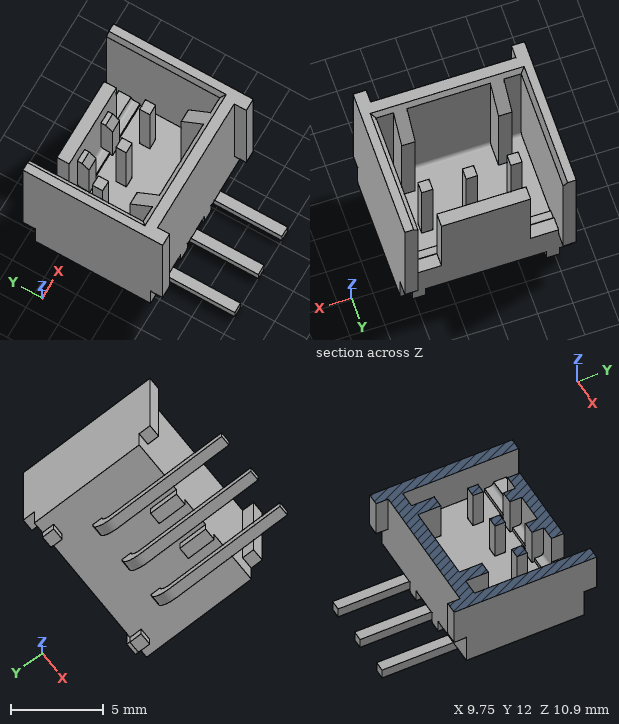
import cadquery as cq


pitch = 2.53
contact_count = 3
wire = 0.64
overall_length = 12.01
tail_tip_y = -8.53
contact_top_z = 8.19

width = 9.75
bottom_z = 2 * wire
top_z = 10.92
front_y = -4.47
back_y = 2.71
side_wall = 0.76
front_wall = 0.9
back_wall = 0.77
flange_front_y = -5.21
flange_back_y = tail_tip_y + overall_length
flange_bottom_z = 3.1
back_wall_top_z = 8.55
lead_in = 0.25

floor_z = flange_bottom_z
floor_fillet = 0.25
ledge_depth = 0.55
ledge_height = 0.25
half_cavity = width / 2 - side_wall
cavity_front_y = front_y + front_wall
cavity_back_y = back_y - back_wall

rib_x = 2.75
rib_width = 0.77
rib_tip_y = -2.19
hook_width = 0.77
hook_top_z = 7.03
hook_flat = 0.29
hook_slope = 0.43
foot_width = 0.75
back_foot_length = 0.77
foot_height = 0.77
front_foot_length = 1.77
back_foot_x = contact_count * pitch / 2


def box(x_min, x_max, y_min, y_max, z_min, z_max):
    size = (x_max - x_min, y_max - y_min, z_max - z_min)
    return cq.Workplane("XY").box(*size, centered=False).translate((x_min, y_min, z_min))


def centred_box(x, x_size, y_min, y_max, z_min, z_max):
    return box(x - x_size / 2, x + x_size / 2, y_min, y_max, z_min, z_max)


def extrude_profile(profile, x, x_size):
    """Extrude a closed YZ profile by x_size, centred on x."""
    return profile.extrude(x_size / 2, both=True).translate((x, 0, 0))


def make_shell():
    """Housing block with side flanges, an open cavity and a lowered back wall."""
    shell = centred_box(0, width, front_y, back_y, bottom_z, top_z)
    for side in (-1, 1):
        flange_x = side * (width - side_wall) / 2
        flange = centred_box(flange_x, side_wall, flange_front_y, flange_back_y, flange_bottom_z, top_z)
        shell = shell.union(flange)

    cavity = centred_box(0, 2 * half_cavity, cavity_front_y, cavity_back_y, floor_z, top_z)
    above_back_wall = centred_box(0, 2 * half_cavity, cavity_back_y, flange_back_y, back_wall_top_z, top_z)
    shell = shell.cut(cavity).cut(above_back_wall)

    shoulder_z = floor_z + ledge_height + floor_fillet
    for x_min, x_max in ((-half_cavity, -pitch), (pitch, half_cavity)):
        shell = shell.cut(box(x_min, x_max, cavity_back_y, back_y, shoulder_z, top_z))
    return shell


def make_lead_in():
    """Wedge that chamfers the side and front walls at the cavity mouth, mitred at the corners."""
    mouth_length = flange_back_y - cavity_front_y + 2 * lead_in
    mouth_mid_y = cavity_front_y - lead_in + mouth_length / 2
    return (
        cq.Workplane("XY", origin=(0, mouth_mid_y, top_z))
        .rect(2 * (half_cavity + lead_in), mouth_length)
        .workplane(offset=-lead_in)
        .rect(2 * half_cavity, mouth_length - 2 * lead_in)
        .loft(ruled=True)
    )


def make_floor_roots():
    """Concave fillet along the front wall, and a ledge with a concave fillet along the back wall."""
    front = (
        cq.Workplane("YZ")
        .moveTo(cavity_front_y, floor_z)
        .lineTo(cavity_front_y + floor_fillet, floor_z)
        .radiusArc((cavity_front_y, floor_z + floor_fillet), floor_fillet)
        .close()
    )
    ledge_z = floor_z + ledge_height
    back = (
        cq.Workplane("YZ")
        .moveTo(cavity_back_y, floor_z)
        .lineTo(cavity_back_y - ledge_depth, floor_z)
        .lineTo(cavity_back_y - ledge_depth, ledge_z)
        .lineTo(cavity_back_y - floor_fillet, ledge_z)
        .radiusArc((cavity_back_y, ledge_z + floor_fillet), -floor_fillet)
        .close()
    )
    root_width = 2 * half_cavity
    return extrude_profile(front, 0, root_width).union(extrude_profile(back, 0, root_width))


def make_rib(x):
    """Front wall rib whose top continues the 45 degree lead-in of the wall."""
    slope_start_y = cavity_front_y - lead_in
    tip_z = top_z - (rib_tip_y - slope_start_y)
    profile = cq.Workplane("YZ").polyline(
        [
            (slope_start_y, floor_z),
            (slope_start_y, top_z),
            (rib_tip_y, tip_z),
            (rib_tip_y, floor_z),
        ]
    ).close()
    return extrude_profile(profile, x, rib_width)


def make_hook(x):
    """Back wall rib with a flat top and a 45 degree nose."""
    nose_y = cavity_back_y - hook_flat
    tip_y = nose_y - hook_slope
    profile = cq.Workplane("YZ").polyline(
        [
            (cavity_back_y, floor_z),
            (cavity_back_y, hook_top_z),
            (nose_y, hook_top_z),
            (tip_y, hook_top_z - hook_slope),
            (tip_y, floor_z),
        ]
    ).close()
    return extrude_profile(profile, x, hook_width)


def make_contact(x):
    """Upright pin with a concentric quarter bend and a tail pointing to -Y."""
    outer_radius = 2 * wire
    inner_radius = outer_radius - wire
    bend_y = wire / 2 - outer_radius
    profile = (
        cq.Workplane("YZ")
        .moveTo(tail_tip_y, 0)
        .lineTo(bend_y, 0)
        .radiusArc((wire / 2, outer_radius), -outer_radius)
        .lineTo(wire / 2, contact_top_z)
        .lineTo(-wire / 2, contact_top_z)
        .lineTo(-wire / 2, outer_radius)
        .radiusArc((bend_y, wire), inner_radius)
        .lineTo(tail_tip_y, wire)
        .close()
    )
    return extrude_profile(profile, x, wire)


def make_foot(x, y_min, y_max):
    return centred_box(x, foot_width, y_min, y_max, bottom_z - foot_height, bottom_z)


result = make_shell().cut(make_lead_in()).union(make_floor_roots())

for side in (-1, 1):
    between_contacts = side * pitch / 2
    result = result.union(make_rib(side * rib_x))
    result = result.union(make_hook(between_contacts))
    result = result.union(make_foot(between_contacts, front_y, front_y + front_foot_length))
    result = result.union(make_foot(side * back_foot_x, back_y - back_foot_length, back_y))

for index in range(contact_count):
    result = result.union(make_contact((index - (contact_count - 1) / 2) * pitch))